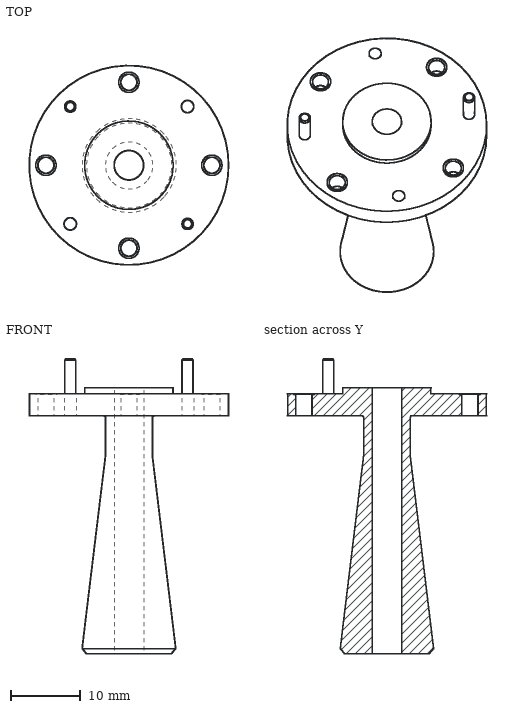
import cadquery as cq
import math

total_height = 42.25
pin_length = 5.03
flange_thickness = 3.15
boss_height = 0.9
flange_top = total_height - pin_length
flange_bottom = flange_top - flange_thickness
boss_top = flange_top + boss_height
neck_bottom = 28.3
rim_height = 0.75

flange_diameter = 28.55
boss_diameter = 12.67
neck_diameter = 6.75
cone_diameter = 13.45
rim_diameter = 12.15
bore_diameter = 4.2
neck_fillet = 0.25

hole_circle_radius = 11.85
screw_hole_diameter = 2.3
counterbore_diameter = 2.9
counterbore_depth = 0.1
dowel_hole_diameter = 1.75
pin_diameter = 1.6
pin_chamfer = 0.2


def circle_points(angles):
    """Points on the hole circle at the given angles in degrees."""
    return [
        (
            hole_circle_radius * math.cos(math.radians(angle)),
            hole_circle_radius * math.sin(math.radians(angle)),
        )
        for angle in angles
    ]


def turned_body():
    """Flange, boss, neck and cone, revolved as one half profile."""
    neck_radius = neck_diameter / 2
    fillet_middle = neck_fillet * (1 - math.sqrt(0.5))
    return (
        cq.Workplane("XZ")
        .moveTo(0, 0)
        .lineTo(rim_diameter / 2, 0)
        .lineTo(cone_diameter / 2, rim_height)
        .lineTo(neck_radius, neck_bottom)
        .lineTo(neck_radius, flange_bottom - neck_fillet)
        .threePointArc(
            (neck_radius + fillet_middle, flange_bottom - fillet_middle),
            (neck_radius + neck_fillet, flange_bottom),
        )
        .lineTo(flange_diameter / 2, flange_bottom)
        .lineTo(flange_diameter / 2, flange_top)
        .lineTo(boss_diameter / 2, flange_top)
        .lineTo(boss_diameter / 2, boss_top)
        .lineTo(0, boss_top)
        .close()
        .revolve(360, (0, 0, 0), (0, 1, 0))
    )


def dowel_pins():
    """Two opposite pins rooted in the flange, chamfered at the tip."""
    return (
        cq.Workplane("XY", origin=(0, 0, flange_bottom))
        .pushPoints(circle_points([135, 315]))
        .circle(pin_diameter / 2)
        .extrude(total_height - flange_bottom)
        .faces(">Z")
        .chamfer(pin_chamfer)
    )


flange_face = cq.Workplane("XY", origin=(0, 0, flange_top))

result = turned_body()
bore = cq.Workplane("XY").circle(bore_diameter / 2).extrude(boss_top)
result = result.cut(bore)

result = (
    result.copyWorkplane(flange_face)
    .pushPoints(circle_points([0, 90, 180, 270]))
    .cboreHole(screw_hole_diameter, counterbore_diameter, counterbore_depth, flange_thickness)
)

result = (
    result.copyWorkplane(flange_face)
    .pushPoints(circle_points([45, 225]))
    .hole(dowel_hole_diameter, flange_thickness)
)

result = result.union(dowel_pins())